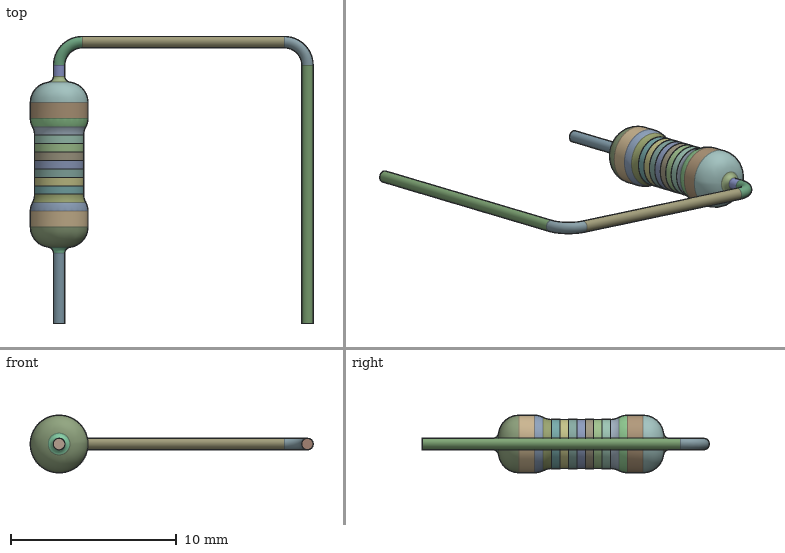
import cadquery as cq
import math


lead_diameter = 0.7
lead_radius = lead_diameter / 2
lead_pitch = 15.0
bend_radius = 2 * lead_diameter
lead_tip_y = -9.6
total_length = 17.35
crossbar_y = lead_tip_y + total_length - lead_radius

cap_radius = 3.5 / 2
cap_round_radius = 1.25
body_half_length = 5.0
cap_round_start = body_half_length - cap_round_radius
cap_straight_end = 2.8
meniscus_radius = 0.35

waist_radius = 2.98 / 2
band_radius = 3.0 / 2
band_count = 4
gap_count = band_count - 1
neck_steps = 2
step_count = band_count + gap_count + 2 * neck_steps
step_length = 2 * cap_straight_end / step_count
neck_end = cap_straight_end - neck_steps * step_length


def make_cap():
    """One end of the body, revolved from the end of the waist to the lead."""
    neck_length = cap_straight_end - neck_end
    neck_drop = cap_radius - waist_radius
    neck_arc_radius = (neck_length**2 + neck_drop**2) / (4 * neck_drop)
    neck_middle = (cap_radius - neck_drop / 2, (neck_end + cap_straight_end) / 2)

    round_centre_x = cap_radius - cap_round_radius
    meniscus_centre_x = lead_radius + meniscus_radius
    centre_distance = cap_round_radius + meniscus_radius
    centre_offset_x = meniscus_centre_x - round_centre_x
    centre_offset_y = math.sqrt(centre_distance**2 - centre_offset_x**2)
    tangent_share = cap_round_radius / centre_distance
    tangent_point = (
        round_centre_x + tangent_share * centre_offset_x,
        cap_round_start + tangent_share * centre_offset_y,
    )
    meniscus_end = cap_round_start + centre_offset_y

    profile = (
        cq.Workplane("XY")
        .moveTo(0, neck_end)
        .lineTo(waist_radius, neck_end)
        .radiusArc(neck_middle, neck_arc_radius)
        .radiusArc((cap_radius, cap_straight_end), -neck_arc_radius)
        .lineTo(cap_radius, cap_round_start)
        .radiusArc(tangent_point, -cap_round_radius)
        .radiusArc((lead_radius, meniscus_end), meniscus_radius)
        .lineTo(0, meniscus_end)
        .close()
    )
    return profile.revolve(360, (0, 0, 0), (0, 1, 0))


def make_disc(radius, start_y, length):
    """Round disc on the Y axis, running toward +Y from start_y."""
    return cq.Workplane("XZ", origin=(0, start_y, 0)).circle(radius).extrude(-length)


def make_body():
    waist = make_disc(waist_radius, -neck_end, 2 * neck_end)
    cap = make_cap()
    return waist.union(cap).union(cap.mirror("XZ"))


def add_bands(body):
    """Raise the colour bands, evenly spaced along the waist."""
    for index in range(band_count):
        band_start_y = -neck_end + 2 * index * step_length
        body = body.union(make_disc(band_radius, band_start_y, step_length))
    return body


def make_lead():
    """Wire through the body, bent twice so that both tips end level."""
    bend_start_y = crossbar_y - bend_radius
    path = (
        cq.Workplane("XY")
        .moveTo(0, lead_tip_y)
        .lineTo(0, bend_start_y)
        .radiusArc((bend_radius, crossbar_y), bend_radius)
        .lineTo(lead_pitch - bend_radius, crossbar_y)
        .radiusArc((lead_pitch, bend_start_y), bend_radius)
        .lineTo(lead_pitch, lead_tip_y)
    )
    return cq.Workplane("XZ", origin=(0, lead_tip_y, 0)).circle(lead_radius).sweep(path)


result = add_bands(make_body()).union(make_lead())